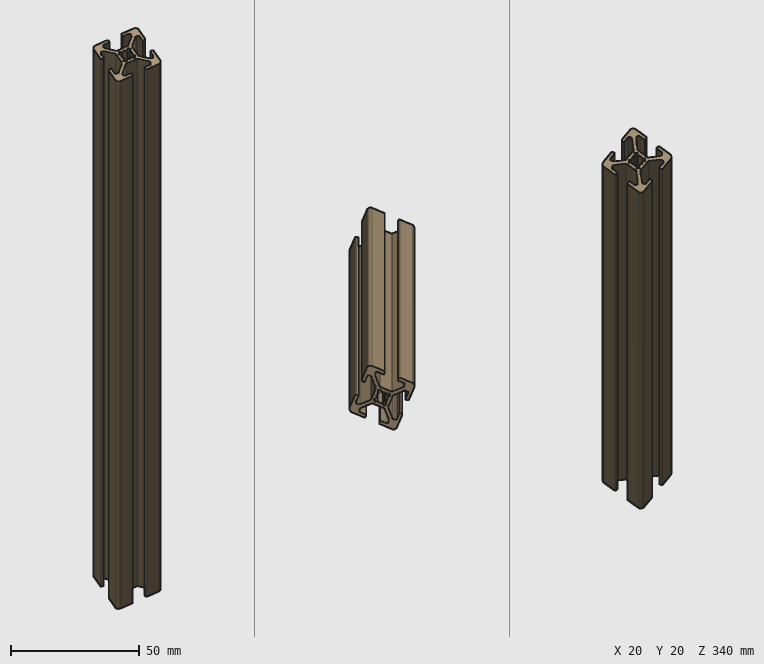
import cadquery as cq

length = 340.0
width = 20.0
corner_radius = 1.5

mouth_width = 5.8
mouth_radius = 0.4
lip_thickness = 1.5
chamber_width = 12.2
lip_corner_radius = 0.6
web_corner_radius = 1.0

bore_diameter = 4.5
lobe_span = 6.5
lobe_width = 1.2

core_wall = 1.43
core_corner_radius = 0.5
web_thickness = 1.5

half_width = width / 2
half_mouth = mouth_width / 2
half_chamber = chamber_width / 2
half_core = bore_diameter / 2 + core_wall
lip_inner = half_width - lip_thickness

flank_offset = web_thickness / 2**0.5
half_floor = half_core - flank_offset
chamber_corner = half_chamber + flank_offset


def round_edges(body, x, y, radius):
    """Round the two lengthwise edges that cross the XY plane at (x, y) and (-x, y)."""
    for side in (-1, 1):
        edge = cq.selectors.NearestToPointSelector((side * x, y, length / 2))
        body = body.edges("|Z").edges(edge).fillet(radius)
    return body


def slot_cutter():
    """T-slot open to +Y: narrow mouth, wide chamber, flanks running along the webs."""
    right_side = [
        (half_mouth, half_width),
        (half_mouth, lip_inner),
        (half_chamber, lip_inner),
        (half_chamber, chamber_corner),
        (half_floor, half_core),
    ]
    left_side = [(-x, y) for x, y in reversed(right_side)]
    cutter = cq.Workplane("XY").polyline(right_side + left_side).close().extrude(length)
    cutter = round_edges(cutter, half_chamber, lip_inner, lip_corner_radius)
    cutter = round_edges(cutter, half_chamber, chamber_corner, web_corner_radius)
    return round_edges(cutter, half_floor, half_core, core_corner_radius)


def bore_cutter():
    """Round bore crossed by two diagonal slits that form its four lobes."""
    cutter = cq.Workplane("XY").circle(bore_diameter / 2).extrude(length)
    for angle in (45, 135):
        slit = cq.Workplane("XY").rect(lobe_span, lobe_width).extrude(length)
        cutter = cutter.union(slit.rotate((0, 0, 0), (0, 0, 1), angle))
    return cutter


def bar():
    """Square bar with rounded corners, slotted on all sides, with rounded slot mouths."""
    body = cq.Workplane("XY").rect(width, width).extrude(length)
    body = body.edges("|Z").fillet(corner_radius)
    slot = slot_cutter()
    for angle in (0, 90, 180, 270):
        body = body.cut(slot.rotate((0, 0, 0), (0, 0, 1), angle))
    for side in (-half_width, half_width):
        body = round_edges(body, half_mouth, side, mouth_radius)
        for mouth_edge in (-half_mouth, half_mouth):
            edge = cq.selectors.NearestToPointSelector((side, mouth_edge, length / 2))
            body = body.edges("|Z").edges(edge).fillet(mouth_radius)
    return body


result = bar().cut(bore_cutter())